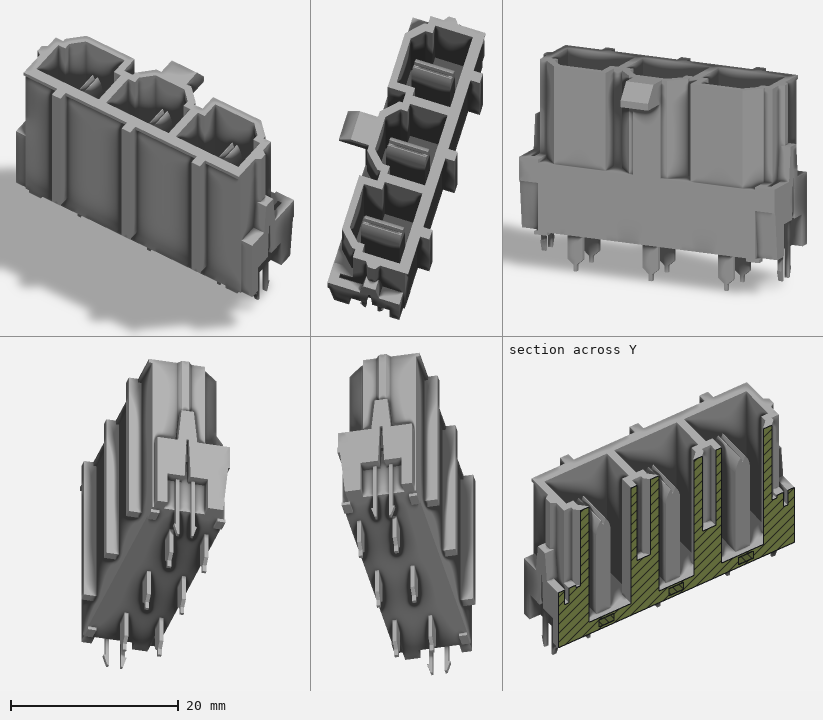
import cadquery as cq
import math


pitch = 10.0
row_centers = [-pitch, 0, pitch]
housing_width = 30.83
housing_height = 20.55
front_face = 0.4
rim_height = 0.5
base_height = 1.95

cavity_half_width = 4.47
cavity_front = 1.32
cavity_shoulder = 6.03
cavity_back = 8.35
cavity_neck_half_width = 3.5
cavity_chamfer = 1.42
wall = 0.88
recess_back = cavity_shoulder + wall
lobe_back = 9.18
lobe_half_width = cavity_neck_half_width + wall
lobe_chamfer = 1.85

rib_width = 1.22
rib_front = -1.15

shelf_width = 2 * (pitch + lobe_half_width)
shelf_back = 9.62
shelf_height = 8.47
latch_width = 3.63
latch_back = 12.95
latch_bottom = 17.72
latch_ramp_start = 11.45
latch_ramp_bottom = 18.55

standoff_length = 1.7
standoff_depth = 1.0
standoff_height = 0.4
standoff_center_x = 14.05

overall_width = 33.88
ear_inner_x = -shelf_width / 2
ear_front = 0.6
ear_height = 8.9
ear_draft_top = 6.0
ear_draft_step = 0.25
ear_draft_foot = 0.85
lock_y = 4.37
spike_top = 13.1
spike_top_width = 1.52
spike_foot_width = 2.37
notch_width = 5.05
notch_height = 4.0
slit_top = 9.1
slit_top_width = 0.3
slit_foot_width = 0.75
slit_step_height = 6.57
slot_back = 8.47

bump_depth = 0.6
bump_outer_width = 0.88
bump_foot_width = 1.75

lock_thickness = 0.55
leg_width = 0.45
leg_bottom = -3.6
leg_tip_width = 0.25
barb_top = -2.25
barb_depth = 0.25

terminal_width = 2.03
blade_front = 2.45
blade_back = 7.3
blade_top = 16.67
tip_arc_angle = 36.0
tip_land_half_width = 0.37
tip_groove_half_width = 0.3
tip_groove_floor_half_width = 0.05
tip_groove_angle = 71.0
tail_thickness = 0.47
tail_centers_y = [4.0, 8.35]
tail_taper_top = -3.2
tail_taper_bottom = -3.85
tail_bottom = -4.68
tail_tip_width = 0.45
foot_bottom = 0.5
foot_top = 1.52


def box(x_min, x_max, y_min, y_max, z_min, z_max):
    """Axis-aligned box between two limits on each axis."""
    size = (x_max - x_min, y_max - y_min, z_max - z_min)
    return cq.Workplane("XY").box(*size, centered=False).translate((x_min, y_min, z_min))


def prism_along_x(points, x_min, x_max):
    """Extrude a closed (y, z) outline along X."""
    return cq.Workplane("YZ", origin=(x_min, 0, 0)).polyline(points).close().extrude(x_max - x_min)


def prism_along_z(points, z_min, z_max):
    """Extrude a closed (x, y) outline along Z."""
    return cq.Workplane("XY", origin=(0, 0, z_min)).polyline(points).close().extrude(z_max - z_min)


def prism_along_y(sketch, y_min, y_max):
    """Extrude a closed outline drawn on an XZ workplane from y_min to y_max."""
    return sketch.extrude(-(y_max - y_min)).translate((0, y_min, 0))


def keyed_points(center_x, half_width, y_back, y_front, left_chamfer, right_chamfer):
    """Block outline whose two rear corners are cut at 45 degrees; a zero chamfer stays square."""
    left = center_x - half_width
    right = center_x + half_width
    points = [(left, y_front), (right, y_front), (right, y_back - right_chamfer)]
    if right_chamfer:
        points.append((right - right_chamfer, y_back))
    points.append((left + left_chamfer, y_back))
    if left_chamfer:
        points.append((left, y_back - left_chamfer))
    return points


def corner_chamfers(center_x, chamfer):
    """The outer cavities are chamfered on their outer rear corner only, the middle one on both."""
    left_chamfer = chamfer if center_x <= 0 else 0
    right_chamfer = chamfer if center_x >= 0 else 0
    return left_chamfer, right_chamfer


def make_lobe(center_x):
    """Rear part of the shell around one cavity."""
    chamfers = corner_chamfers(center_x, lobe_chamfer)
    points = keyed_points(center_x, lobe_half_width, lobe_back, front_face, *chamfers)
    return prism_along_z(points, 0, housing_height)


def make_cavity(center_x):
    """Mating cavity: a wide front part and a narrower keyed rear part."""
    chamfers = corner_chamfers(center_x, cavity_chamfer)
    points = keyed_points(center_x, cavity_neck_half_width, cavity_back, cavity_front, *chamfers)
    rear = prism_along_z(points, base_height, housing_height)
    left = center_x - cavity_half_width
    right = center_x + cavity_half_width
    front = box(left, right, cavity_front, cavity_shoulder, base_height, housing_height)
    return front.union(rear)


def make_rib(center_x):
    """Vertical polarizing rib on the front face."""
    left = center_x - rib_width / 2
    return box(left, left + rib_width, rib_front, front_face, base_height, housing_height)


def make_latch():
    """Latch hook on the rear with the narrow rib below it."""
    half = latch_width / 2
    stem = box(-half, half, cavity_back, shelf_back, 0, housing_height)
    hook_points = [
        (cavity_back, latch_bottom),
        (latch_back, latch_bottom),
        (latch_back, latch_ramp_bottom),
        (latch_ramp_start, housing_height),
        (cavity_back, housing_height),
    ]
    return stem.union(prism_along_x(hook_points, -half, half))


def make_standoffs():
    """Four small pads under the corners of the housing."""
    pads = cq.Workplane("XY")
    for center_x in (-standoff_center_x, standoff_center_x):
        left = center_x - standoff_length / 2
        for y_min in (front_face, shelf_back - standoff_depth):
            pad = box(left, left + standoff_length, y_min, y_min + standoff_depth, -standoff_height, 0)
            pads = pads.add(pad)
    return pads.combine()


def centered_trapezoid(foot_width, foot_z, top_width, top_z):
    """(y, z) outline that is symmetric about the board lock plane."""
    return [
        (lock_y - foot_width / 2, foot_z),
        (lock_y + foot_width / 2, foot_z),
        (lock_y + top_width / 2, top_z),
        (lock_y - top_width / 2, top_z),
    ]


def make_bump():
    """Tapered vertical bump on the left side wall, above the ear."""
    wall_x = -housing_width / 2
    points = [
        (wall_x, lock_y - bump_foot_width / 2),
        (wall_x, lock_y + bump_foot_width / 2),
        (wall_x - bump_depth, lock_y + bump_outer_width / 2),
        (wall_x - bump_depth, lock_y - bump_outer_width / 2),
    ]
    return prism_along_z(points, ear_height, housing_height)


def make_ear():
    """Left ear: drafted block with spike, board lock slot, slit and bottom notch."""
    wall_x = -housing_width / 2
    outer_x = -overall_width / 2
    block_points = [
        (ear_front, 0),
        (ear_front, ear_height),
        (shelf_back, ear_height),
        (shelf_back, ear_draft_top),
        (shelf_back - ear_draft_step, ear_draft_top),
        (shelf_back - ear_draft_foot, 0),
    ]
    block = prism_along_x(block_points, outer_x, ear_inner_x)
    spike_points = centered_trapezoid(spike_foot_width, ear_height, spike_top_width, spike_top)
    ear = block.union(prism_along_x(spike_points, outer_x, wall_x))

    notch_front = lock_y - notch_width / 2
    notch = box(outer_x, wall_x, notch_front, notch_front + notch_width, 0, notch_height)
    slot_front = lock_y + spike_foot_width / 2
    slot = box(wall_x - lock_thickness, wall_x, slot_front, slot_back, slit_step_height, ear_height)
    slit_points = centered_trapezoid(slit_foot_width, notch_height, slit_top_width, slit_top)
    slit = prism_along_x(slit_points, outer_x, wall_x)
    lock_plate = box(
        wall_x - lock_thickness, wall_x, ear_front, slot_front, slit_step_height, slit_top
    )
    return ear.cut(notch).cut(slot).cut(slit.cut(lock_plate))


def make_lock_legs():
    """Two barbed spring legs of the left board lock, mirrored about the lock plane."""
    wall_x = -housing_width / 2
    legs = cq.Workplane("XY")
    for side in (-1, 1):
        outer = spike_foot_width / 2
        inner = outer - leg_width
        offsets = [
            (inner, notch_height),
            (outer, notch_height),
            (outer, barb_top),
            (outer + barb_depth, barb_top),
            (inner + leg_tip_width, leg_bottom),
            (inner, leg_bottom),
        ]
        points = [(lock_y + side * offset, z) for offset, z in offsets]
        legs = legs.add(prism_along_x(points, wall_x - lock_thickness, wall_x))
    return legs.combine()


def make_housing():
    """Housing with its side ears and board locks, without the room for the terminals."""
    half = housing_width / 2
    housing = box(-half, half, front_face, recess_back, 0, housing_height)
    rim = box(-half, half, 0, front_face, housing_height - rim_height, housing_height)
    shelf = box(-shelf_width / 2, shelf_width / 2, front_face, shelf_back, 0, shelf_height)
    housing = housing.union(rim).union(shelf).union(make_latch())
    for center_x in row_centers:
        housing = housing.union(make_lobe(center_x)).union(make_rib(center_x))
    left_side = make_ear().union(make_lock_legs()).union(make_bump())
    housing = housing.union(left_side).union(left_side.mirror("YZ"))
    for center_x in row_centers:
        housing = housing.cut(make_cavity(center_x))
    return housing.union(make_standoffs())


def make_blade():
    """Contact blade with a pointed, rounded tip that is split by a groove."""
    half = terminal_width / 2
    arc = math.radians(tip_arc_angle)
    radius = (half - tip_land_half_width) / (1 - math.cos(arc))
    shoulder = blade_top - radius * math.sin(arc)
    mid_x = half - radius * (1 - math.cos(arc / 2))
    mid_z = shoulder + radius * math.sin(arc / 2)
    groove_run = tip_groove_half_width - tip_groove_floor_half_width
    groove_floor = blade_top - groove_run * math.tan(math.radians(tip_groove_angle))
    outline = (
        cq.Workplane("XZ")
        .moveTo(-half, foot_bottom)
        .lineTo(half, foot_bottom)
        .lineTo(half, shoulder)
        .threePointArc((mid_x, mid_z), (tip_land_half_width, blade_top))
        .lineTo(tip_groove_half_width, blade_top)
        .lineTo(tip_groove_floor_half_width, groove_floor)
        .lineTo(-tip_groove_floor_half_width, groove_floor)
        .lineTo(-tip_groove_half_width, blade_top)
        .lineTo(-tip_land_half_width, blade_top)
        .threePointArc((-mid_x, mid_z), (-half, shoulder))
        .close()
    )
    return prism_along_y(outline, blade_front, blade_back)


def make_tail(center_y):
    """Flat solder tail with a narrow tip."""
    half = terminal_width / 2
    tip = tail_tip_width / 2
    points = [
        (-half, foot_top),
        (half, foot_top),
        (half, tail_taper_top),
        (tip, tail_taper_bottom),
        (tip, tail_bottom),
        (-tip, tail_bottom),
        (-tip, tail_taper_bottom),
        (-half, tail_taper_top),
    ]
    outline = cq.Workplane("XZ").polyline(points).close()
    return prism_along_y(outline, center_y - tail_thickness / 2, center_y + tail_thickness / 2)


def make_terminal():
    """One terminal: blade, buried foot and two solder tails."""
    half = terminal_width / 2
    foot_back = tail_centers_y[-1] + tail_thickness / 2
    terminal = make_blade().union(box(-half, half, blade_front, foot_back, foot_bottom, foot_top))
    for center_y in tail_centers_y:
        terminal = terminal.union(make_tail(center_y))
    return terminal


def make_terminal_set():
    """Three terminals joined by a thin bar buried in the housing base."""
    bar_front = tail_centers_y[0] - tail_thickness / 2
    terminals = box(-pitch, pitch, bar_front, bar_front + tail_thickness, foot_bottom, foot_top)
    terminal = make_terminal()
    for center_x in row_centers:
        terminals = terminals.union(terminal.translate((center_x, 0, 0)))
    return terminals


terminal_set = make_terminal_set()
housing = make_housing().cut(terminal_set)

result = cq.Compound.makeCompound([housing.solids().val(), terminal_set.solids().val()])